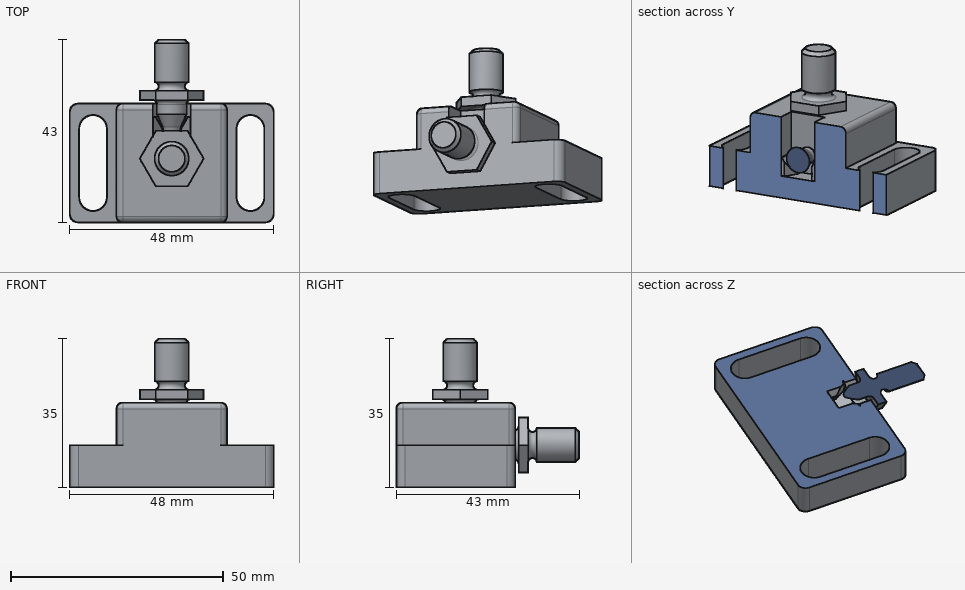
import cadquery as cq
import math

FLANGE_LENGTH = 48.0
DEPTH = 28.0
FLANGE_HEIGHT = 10.0
FLANGE_CORNER_RADIUS = 2.0
BLOCK_WIDTH = 26.0
HOUSING_HEIGHT = 19.95
BLOCK_EDGE_RADIUS = 1.5

MOUNT_SLOT_SPACING = 37.0
MOUNT_SLOT_LENGTH = 22.5
MOUNT_SLOT_WIDTH = 6.5

THREAD_DIAMETER = 8.0
TIP_CHAMFER = 0.9
THREAD_LENGTH = 10.0
UNDERCUT_WIDTH = 2.0
UNDERCUT_DEPTH = 0.9
HEX_ACROSS_FLATS = 13.0
HEX_THICKNESS = 2.25
COLLAR_FILLET = 0.9
SHANK_RADIUS = 3.5
SHANK_LENGTH = 2.35
CONE_LENGTH = 3.0
CONE_END_RADIUS = 2.15
NECK_TAPER_LENGTH = 0.85
NECK_RADIUS = 1.95
STUD_LENGTH = 23.0

STUD_PROJECTION = 15.0
SIDE_STUD_Z = 10.0
TOP_STUD_Y = 15.0

CHANNEL_WIDTH = 9.0
LIP_THICKNESS = 3.05
HEX_GAP = 0.2
HEX_TROUGH_CORNERS = 8.75
FUNNEL_MOUTH_WIDTH = 7.5
FUNNEL_HALF_ANGLE = 30.0

THREAD_RADIUS = THREAD_DIAMETER / 2
CHANNEL_RADIUS = CHANNEL_WIDTH / 2
CHANNEL_FLOOR_Z = SIDE_STUD_Z - CHANNEL_RADIUS
CHANNEL_END_Y = DEPTH + STUD_PROJECTION - STUD_LENGTH
LIP_INNER_Y = DEPTH - LIP_THICKNESS
HEX_TROUGH_Y = LIP_INNER_Y - HEX_GAP
HEX_START = THREAD_LENGTH + UNDERCUT_WIDTH


def make_stud():
    """Threaded stud with its tip at the origin and its axis running to -Z."""
    hex_end = HEX_START + HEX_THICKNESS
    shank_start = hex_end + COLLAR_FILLET
    cone_start = shank_start + SHANK_LENGTH
    cone_end = cone_start + CONE_LENGTH
    collar_radius = SHANK_RADIUS + COLLAR_FILLET
    fillet_sag = COLLAR_FILLET * (1 - math.sin(math.radians(45)))
    fillet_middle = (SHANK_RADIUS + fillet_sag, -hex_end - fillet_sag)
    profile = (
        cq.Workplane("XZ")
        .lineTo(THREAD_RADIUS - TIP_CHAMFER, 0)
        .lineTo(THREAD_RADIUS, -TIP_CHAMFER)
        .lineTo(THREAD_RADIUS, -THREAD_LENGTH)
        .threePointArc(
            (THREAD_RADIUS - UNDERCUT_DEPTH, -THREAD_LENGTH - UNDERCUT_WIDTH / 2),
            (THREAD_RADIUS, -HEX_START),
        )
        .lineTo(collar_radius, -HEX_START)
        .lineTo(collar_radius, -hex_end)
        .threePointArc(fillet_middle, (SHANK_RADIUS, -shank_start))
        .lineTo(SHANK_RADIUS, -cone_start)
        .lineTo(CONE_END_RADIUS, -cone_end)
        .lineTo(NECK_RADIUS, -cone_end - NECK_TAPER_LENGTH)
        .lineTo(NECK_RADIUS, -STUD_LENGTH)
        .lineTo(0, -STUD_LENGTH)
        .close()
    )
    hex_across_corners = HEX_ACROSS_FLATS / math.cos(math.radians(30))
    hexagon = (
        cq.Workplane("XY", origin=(0, 0, -hex_end))
        .polygon(6, hex_across_corners)
        .extrude(HEX_THICKNESS)
    )
    return profile.revolve(360, (0, 0, 0), (0, 1, 0)).union(hexagon)


def make_flange():
    """Base plate with rounded corners and two slots through it."""
    flange = (
        cq.Workplane("XY")
        .box(FLANGE_LENGTH, DEPTH, FLANGE_HEIGHT, centered=(True, False, False))
        .edges("|Z")
        .fillet(FLANGE_CORNER_RADIUS)
    )
    slots = (
        cq.Workplane("XY", origin=(0, DEPTH / 2, 0))
        .rarray(MOUNT_SLOT_SPACING, 0.5, 2, 1)
        .slot2D(MOUNT_SLOT_LENGTH, MOUNT_SLOT_WIDTH, 90)
        .extrude(FLANGE_HEIGHT)
    )
    return flange.cut(slots)


def make_block():
    """Raised block, rounded on its upright and top edges."""
    block = (
        cq.Workplane("XY", origin=(0, 0, FLANGE_HEIGHT))
        .box(BLOCK_WIDTH, DEPTH, HOUSING_HEIGHT - FLANGE_HEIGHT, centered=(True, False, False))
    )
    return block.edges("|Z or >Z").fillet(BLOCK_EDGE_RADIUS)


def make_upper_slot():
    """Straight slot from the side stud's axis up through the top of the block."""
    return cq.Workplane("XY", origin=(0, CHANNEL_END_Y, SIDE_STUD_Z)).box(
        CHANNEL_WIDTH,
        DEPTH - CHANNEL_END_Y,
        HOUSING_HEIGHT - SIDE_STUD_Z,
        centered=(True, False, False),
    )


def make_lip_bore():
    """Bore through the lip; its lower half is the round floor of the channel."""
    return (
        cq.Workplane("XZ", origin=(0, DEPTH, SIDE_STUD_Z))
        .circle(CHANNEL_RADIUS)
        .extrude(LIP_THICKNESS)
    )


def make_hex_trough():
    """Hexagonal bore behind the lip; its lower half gives the channel sloping sides."""
    return (
        cq.Workplane("XZ", origin=(0, HEX_TROUGH_Y, SIDE_STUD_Z))
        .polygon(6, HEX_TROUGH_CORNERS)
        .extrude(HEX_TROUGH_Y - CHANNEL_END_Y)
    )


def make_funnel():
    """Flat-floored recess below the stud that narrows from the lip to the stud's neck."""
    mouth = FUNNEL_MOUTH_WIDTH / 2
    throat_y = HEX_TROUGH_Y - (mouth - NECK_RADIUS) / math.tan(math.radians(FUNNEL_HALF_ANGLE))
    right_side = [
        (NECK_RADIUS, CHANNEL_END_Y),
        (NECK_RADIUS, throat_y),
        (mouth, HEX_TROUGH_Y),
        (CHANNEL_RADIUS, HEX_TROUGH_Y),
        (CHANNEL_RADIUS, LIP_INNER_Y),
    ]
    left_side = [(-x, y) for x, y in reversed(right_side)]
    return (
        cq.Workplane("XY", origin=(0, 0, CHANNEL_FLOOR_Z))
        .polyline(right_side + left_side)
        .close()
        .extrude(SIDE_STUD_Z - CHANNEL_FLOOR_Z)
    )


def make_housing(seated_stud):
    """Flange and block with the open channel and a socket that fits the seated stud."""
    housing = make_flange().union(make_block())
    for cutter in (make_upper_slot(), make_lip_bore(), make_hex_trough(), make_funnel()):
        housing = housing.cut(cutter)
    return housing.cut(seated_stud)


STUD_PLACES = [
    (0, (0, TOP_STUD_Y, HOUSING_HEIGHT + STUD_PROJECTION)),
    (-90, (0, DEPTH + STUD_PROJECTION, SIDE_STUD_Z)),
]
studs = []
for tilt, tip in STUD_PLACES:
    studs.append(make_stud().rotate((0, 0, 0), (1, 0, 0), tilt).translate(tip))
top_stud = studs[0]
housing = make_housing(top_stud)

result = cq.Compound.makeCompound([housing.val(), *[stud.val() for stud in studs]])